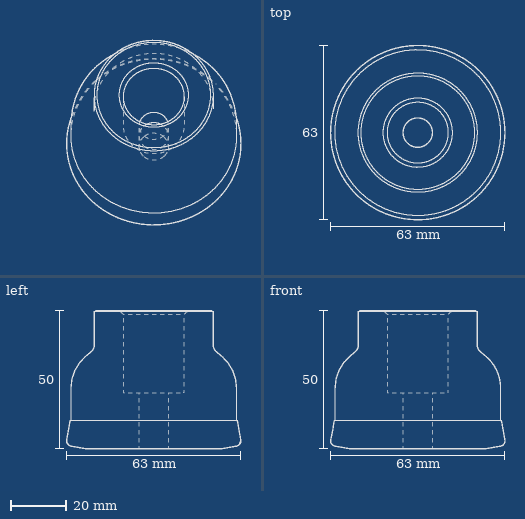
import cadquery as cq
import math

total_height = 50.0
max_radius = 31.5
foot_height = 10.3
hole_radius = 10.5 / 2

foot_taper = math.radians(10)
foot_flat_radius = 24.3
foot_lower_fillet = 2.0
foot_upper_fillet = 0.4

body_radius = 59.85 / 2
dome_radius = 15.0
dome_center_z = 22.0
neck_radius = 43.0 / 2
neck_fillet = 3.0
neck_bottom_z = 37.4
neck_chamfer_width = 1.0
neck_chamfer_height = 0.5

bore_radius = 22.0 / 2
bore_chamfer = 1.5
bore_floor_fillet = 0.5
bore_floor_z = 20.15


def arc_point(center, radius, angle):
    """Point on a circle in the radius-height plane."""
    return (center[0] + radius * math.cos(angle), center[1] + radius * math.sin(angle))


def make_foot():
    corner_setback = foot_lower_fillet * (math.sin(foot_taper) + math.cos(foot_taper))
    corner_radius = max_radius - foot_lower_fillet + corner_setback
    corner_z = (corner_radius - foot_flat_radius) * math.tan(foot_taper)
    top_radius = corner_radius - (foot_height - corner_z) * math.tan(foot_taper)
    foot = (
        cq.Workplane("XZ")
        .moveTo(hole_radius, 0)
        .lineTo(foot_flat_radius, 0)
        .lineTo(corner_radius, corner_z)
        .lineTo(top_radius, foot_height)
        .lineTo(hole_radius, foot_height)
        .close()
        .revolve(360, (0, 0), (0, 1))
    )
    foot = foot.faces(">Z").edges(cq.selectors.RadiusNthSelector(-1)).fillet(foot_upper_fillet)
    return foot.edges(cq.selectors.RadiusNthSelector(-1)).fillet(foot_lower_fillet)


def make_housing_blank():
    dome_center = (body_radius - dome_radius, dome_center_z)
    neck_center = (neck_radius + neck_fillet, neck_bottom_z)

    center_dr = neck_center[0] - dome_center[0]
    center_dz = neck_center[1] - dome_center[1]
    center_distance = math.hypot(center_dr, center_dz)
    normal_angle = math.atan2(center_dz, center_dr) - math.acos((dome_radius + neck_fillet) / center_distance)
    neck_end_angle = normal_angle + math.pi

    return (
        cq.Workplane("XZ")
        .moveTo(0, foot_height)
        .lineTo(body_radius, foot_height)
        .lineTo(body_radius, dome_center_z)
        .threePointArc(
            arc_point(dome_center, dome_radius, normal_angle / 2),
            arc_point(dome_center, dome_radius, normal_angle),
        )
        .lineTo(*arc_point(neck_center, neck_fillet, neck_end_angle))
        .threePointArc(
            arc_point(neck_center, neck_fillet, (neck_end_angle + math.pi) / 2),
            (neck_radius, neck_bottom_z),
        )
        .lineTo(neck_radius, total_height - neck_chamfer_height)
        .lineTo(neck_radius - neck_chamfer_width, total_height)
        .lineTo(0, total_height)
        .close()
        .revolve(360, (0, 0), (0, 1))
    )


def make_bore():
    bore = (
        cq.Workplane("XY", origin=(0, 0, bore_floor_z))
        .circle(bore_radius)
        .extrude(total_height - bore_floor_z)
        .faces("<Z")
        .edges()
        .fillet(bore_floor_fillet)
    )
    mouth = cq.Solid.makeCone(
        bore_radius,
        bore_radius + bore_chamfer,
        bore_chamfer,
        pnt=cq.Vector(0, 0, total_height - bore_chamfer),
    )
    return bore.union(mouth)


def make_housing():
    through_hole = cq.Workplane("XY").circle(hole_radius).extrude(total_height)
    return make_housing_blank().cut(make_bore()).cut(through_hole)


foot = make_foot()
housing = make_housing()
result = cq.Compound.makeCompound([foot.solids().val(), housing.solids().val()])